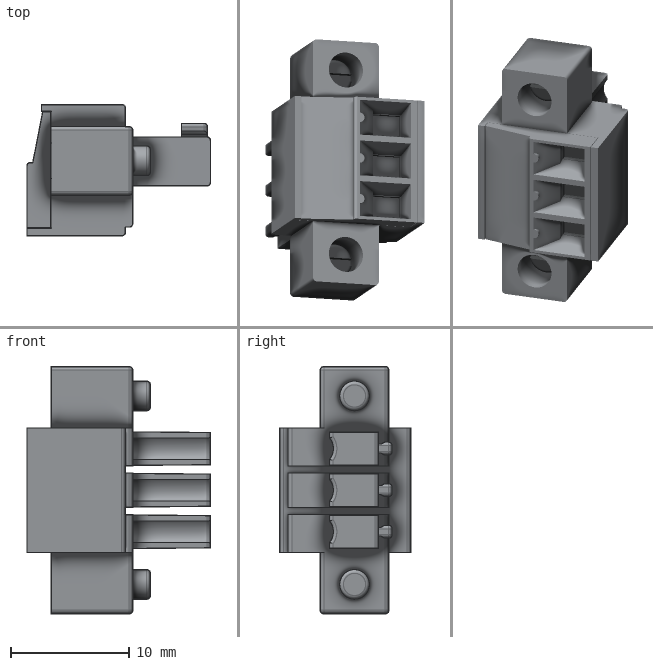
import cadquery as cq


WAYS = 3
PITCH = 3.51
WAY_CENTERS = [PITCH * (i - (WAYS - 1) / 2) for i in range(WAYS)]

HOUSING_LENGTH = 8.32
HOUSING_WIDTH = 11.1
HOUSING_HEIGHT = WAYS * PITCH
EDGE_RADIUS = 0.31

PLATE_DEPTH = 2.0
PLATE_GAP = 0.05
PLATE_GAP_DEPTH = 0.2
PLATE_BOTTOM = 0.7
PLATE_TOP = 10.47
PLATE_TOP_X = 1.32
STEP_X = 0.48
STEP_Y = 6.19
STEP_RADIUS = 0.25
LIP_X = 1.21

PLUG_FACE_X = 8.95
FLANGE_HEIGHT = 20.9
FLANGE_BOTTOM = 3.43
FLANGE_TOP = 9.24
FLANGE_START = PLATE_DEPTH + PLATE_GAP
NOSE_BOTTOM = 0.73
NOSE_GAP = 0.6

SCREW_Y = (FLANGE_BOTTOM + FLANGE_TOP) / 2
SCREW_Z = 7.96
HEAD_DIAMETER = 3.0
HEAD_X = 5.02
HEAD_ROUNDING = 0.3
SLOT_WIDTH = 0.6
SLOT_DEPTH = 0.63
TIP_DIAMETER = 2.5
TIP_END_X = 10.43
TIP_ROUNDING = 0.31

FINGER_END_X = 15.5
FINGER_BOTTOM = 4.22
FINGER_TOP = 8.35
FINGER_ROOT_HEIGHT = 2.86
FINGER_TIP_HEIGHT = 2.74
FINGER_ROUNDING = 0.3
GROOVE_DIAMETER = 2.8
GROOVE_WIDTH = 1.8

RIDGE_START_X = 13.05
RIDGE_END_X = 15.25
RIDGE_TOP = 9.5
RIDGE_HEAD_BOTTOM = 8.86
RIDGE_NECK_TOP = 8.57
RIDGE_HEAD_HEIGHT = 1.09
RIDGE_NECK_HEIGHT = 0.75
RIDGE_ROUNDING = 0.3
RIDGE_END_ROUNDING = 0.3

FUNNEL_DEPTH = 2.5
FUNNEL_BOTTOM = 1.21
FUNNEL_TOP = 5.73
FUNNEL_HEIGHT = 3.0
FLOOR_BOTTOM = 1.34
FLOOR_TOP = 4.0
FLOOR_HEIGHT = 1.84
WELL_INSET = 0.05
WELL_DEPTH = 2.93
RAMP_DEPTH = 1.88
KEY_DIAMETER = 0.82


def block(x_range, y_range, z_range):
    """Box between two limits along each axis."""
    (x0, x1), (y0, y1), (z0, z1) = x_range, y_range, z_range
    return cq.Workplane("XY").box(x1 - x0, y1 - y0, z1 - z0, centered=False).translate((x0, y0, z0))


def rod(diameter, x_start, x_end, y, z):
    """Cylinder along X."""
    return cq.Workplane("YZ", origin=(x_start, y, z)).circle(diameter / 2).extrude(x_end - x_start)


def centered(height, middle=0.0):
    """Z limits of a given height about a middle."""
    return (middle - height / 2, middle + height / 2)


def housing():
    """Housing block with the seat for the plate at its wire side."""
    body = block((0, HOUSING_LENGTH), (0, HOUSING_WIDTH), centered(HOUSING_HEIGHT))
    body = body.edges(">X and |Z").fillet(EDGE_RADIUS)
    seat_y = (PLATE_BOTTOM - PLATE_GAP, PLATE_TOP + PLATE_GAP)
    seat = block((0, PLATE_DEPTH + PLATE_GAP), seat_y, centered(HOUSING_HEIGHT))
    lip_clearance = block((0, LIP_X), (PLATE_TOP, HOUSING_WIDTH), centered(HOUSING_HEIGHT))
    return body.cut(seat).cut(lip_clearance)


def plate():
    """Wire entry plate with a sloped upper part, joined to the housing by a backing short of its ends."""
    outline = (
        cq.Workplane("XY")
        .moveTo(0, PLATE_BOTTOM)
        .lineTo(PLATE_DEPTH, PLATE_BOTTOM)
        .lineTo(PLATE_DEPTH, PLATE_TOP)
        .lineTo(PLATE_TOP_X, PLATE_TOP)
        .lineTo(STEP_X, STEP_Y)
        .lineTo(STEP_RADIUS, STEP_Y)
        .radiusArc((0, STEP_Y - STEP_RADIUS), -STEP_RADIUS)
        .close()
        .extrude(HOUSING_HEIGHT / 2, both=True)
    )
    backing_height = HOUSING_HEIGHT - 2 * PLATE_GAP_DEPTH
    backing = block((PLATE_DEPTH, FLANGE_START), (PLATE_BOTTOM, PLATE_TOP), centered(backing_height))
    return outline.union(backing)


def flanges_and_nose():
    """Flange bar and nose, parted between the ways beyond the housing."""
    bar = block((FLANGE_START, PLUG_FACE_X), (FLANGE_BOTTOM, FLANGE_TOP), centered(FLANGE_HEIGHT))
    bar = bar.edges("|X").fillet(EDGE_RADIUS).faces(">X").edges().fillet(EDGE_RADIUS)
    nose = block((FLANGE_START, PLUG_FACE_X), (NOSE_BOTTOM, FLANGE_TOP), centered(HOUSING_HEIGHT))
    nose = nose.edges(">X and |Z").fillet(EDGE_RADIUS)
    solid = bar.union(nose)
    for lower, upper in zip(WAY_CENTERS, WAY_CENTERS[1:]):
        gap = centered(NOSE_GAP, (lower + upper) / 2)
        solid = solid.cut(block((HOUSING_LENGTH, PLUG_FACE_X), (0, HOUSING_WIDTH), gap))
    return solid


def screw_well(z):
    """Hole in the flange that leads to the screw head."""
    return rod(HEAD_DIAMETER, FLANGE_START, HEAD_X + SLOT_DEPTH, SCREW_Y, z)


def screw(z):
    """Slotted screw with rounded head and tip edges."""
    head = rod(HEAD_DIAMETER, HEAD_X, PLUG_FACE_X - EDGE_RADIUS, SCREW_Y, z)
    head = head.faces("<X").edges().fillet(HEAD_ROUNDING)
    slot_y = (SCREW_Y - HEAD_DIAMETER / 2, SCREW_Y + HEAD_DIAMETER / 2)
    head = head.cut(block((HEAD_X, HEAD_X + SLOT_DEPTH), slot_y, centered(SLOT_WIDTH, z)))
    tip = rod(TIP_DIAMETER, HEAD_X + SLOT_DEPTH, TIP_END_X, SCREW_Y, z)
    tip = tip.faces(">X").edges().fillet(TIP_ROUNDING)
    return head.union(tip)


def finger(z):
    """Tapered contact finger with a shallow round groove along its underside."""
    root, tip = FINGER_ROOT_HEIGHT / 2, FINGER_TIP_HEIGHT / 2
    solid = (
        cq.Workplane("XZ", origin=(0, FINGER_BOTTOM, 0))
        .polyline([(HOUSING_LENGTH, z - root), (FINGER_END_X, z - tip),
                   (FINGER_END_X, z + tip), (HOUSING_LENGTH, z + root)])
        .close()
        .extrude(FINGER_BOTTOM - FINGER_TOP)
    )
    radius = GROOVE_DIAMETER / 2
    axis_drop = (radius**2 - (GROOVE_WIDTH / 2) ** 2) ** 0.5
    solid = solid.cut(rod(GROOVE_DIAMETER, PLUG_FACE_X, FINGER_END_X, FINGER_BOTTOM - axis_drop, z))
    return solid.faces(">X").edges("not |Y").fillet(FINGER_ROUNDING)


def coding_ridge(z):
    """Short ridge with a head wider than its neck."""
    head, neck = RIDGE_HEAD_HEIGHT / 2, RIDGE_NECK_HEIGHT / 2
    lower_side = [
        (FINGER_TOP, -neck),
        (RIDGE_NECK_TOP, -neck),
        (RIDGE_HEAD_BOTTOM, -head),
        (RIDGE_TOP, -head),
    ]
    upper_side = [(y, -offset) for y, offset in reversed(lower_side)]
    return (
        cq.Workplane("YZ", origin=(RIDGE_START_X, 0, z))
        .polyline(lower_side + upper_side)
        .close()
        .extrude(RIDGE_END_X - RIDGE_START_X)
        .edges(">Y and |X")
        .fillet(RIDGE_ROUNDING)
        .faces(">X")
        .edges("|Y")
        .edges(">Z or <Z")
        .fillet(RIDGE_END_ROUNDING)
    )


def funnel(z):
    """Wire funnel: drafted walls, a steeper ramp on its upper side and a straight well in its floor."""
    drafted = (
        cq.Workplane("YZ", origin=(0, (FUNNEL_BOTTOM + FUNNEL_TOP) / 2, z))
        .rect(FUNNEL_TOP - FUNNEL_BOTTOM, FUNNEL_HEIGHT)
        .workplane(offset=FUNNEL_DEPTH)
        .center((FLOOR_BOTTOM - FUNNEL_BOTTOM) / 2, 0)
        .rect(FUNNEL_TOP - FLOOR_BOTTOM, FLOOR_HEIGHT)
        .loft()
    )
    ramp = (
        cq.Workplane("XY")
        .polyline([(0, 0), (FUNNEL_DEPTH, 0), (FUNNEL_DEPTH, FLOOR_TOP),
                   (RAMP_DEPTH, FLOOR_TOP), (0, FUNNEL_TOP)])
        .close()
        .extrude(FUNNEL_HEIGHT, both=True)
        .translate((0, 0, z))
    )
    key = rod(KEY_DIAMETER, 0, RAMP_DEPTH, FUNNEL_TOP, z)
    well = block(
        (0, WELL_DEPTH),
        (FLOOR_BOTTOM + WELL_INSET, FLOOR_TOP - WELL_INSET),
        centered(FLOOR_HEIGHT - 2 * WELL_INSET, z),
    )
    return drafted.intersect(ramp).cut(key).union(well)


result = housing().union(plate()).union(flanges_and_nose())
for side in (-1, 1):
    result = result.cut(screw_well(side * SCREW_Z)).union(screw(side * SCREW_Z))
for center in WAY_CENTERS:
    result = result.union(finger(center)).union(coding_ridge(center)).cut(funnel(center))